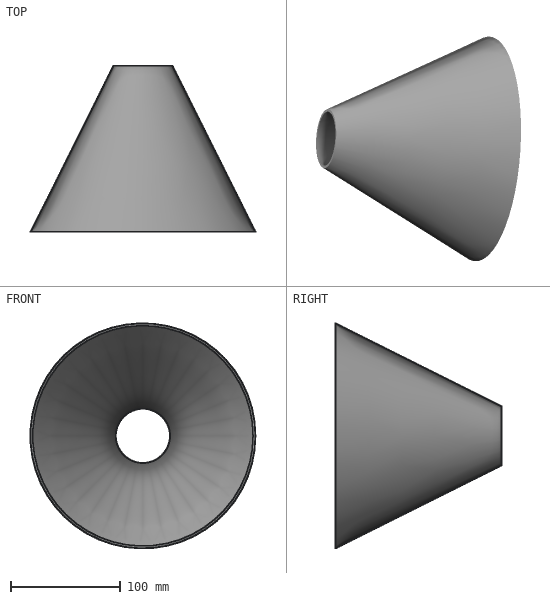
import cadquery as cq

mouth_diameter = 206.0
tip_diameter = 54.0
length = 152.0
radial_wall = 2.3

mouth_radius = mouth_diameter / 2
tip_radius = tip_diameter / 2

wall_section = (
    cq.Workplane("XY")
    .moveTo(mouth_radius - radial_wall, 0)
    .lineTo(mouth_radius, 0)
    .lineTo(tip_radius, length)
    .lineTo(tip_radius - radial_wall, length)
    .close()
)

result = wall_section.revolve(360, (0, 0, 0), (0, 1, 0))